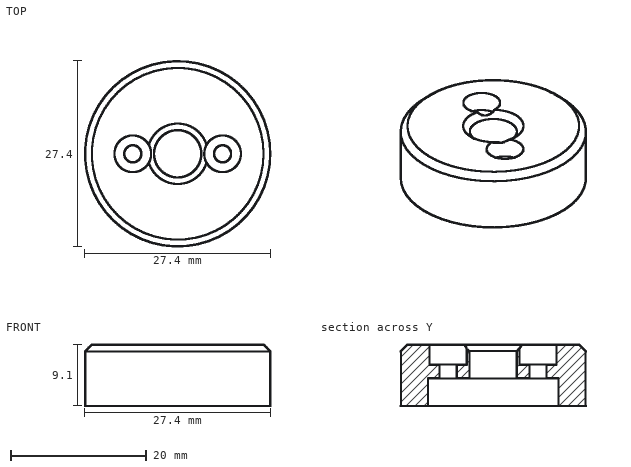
import cadquery as cq

body_diameter = 27.45
body_height = 9.1
edge_chamfer = 1.02

recess_diameter = 19.32
plate_thickness = 5.0
recess_depth = body_height - plate_thickness

bore_diameter = 6.97
bore_chamfer = 1.0
bore_chamfer_angle = 90

screw_offset = 6.65
screw_diameter = 2.5
counterbore_diameter = 5.43
counterbore_depth = 3.0

body = (
    cq.Workplane("XY")
    .circle(body_diameter / 2)
    .extrude(body_height)
    .faces(">Z")
    .chamfer(edge_chamfer)
)

recess = cq.Workplane("XY").circle(recess_diameter / 2).extrude(recess_depth)

bored_body = (
    body.cut(recess)
    .faces(">Z")
    .workplane(origin=(0, 0, body_height))
    .cskHole(bore_diameter, bore_diameter + 2 * bore_chamfer, bore_chamfer_angle)
)

result = (
    bored_body.faces(">Z")
    .workplane(origin=(0, 0, body_height))
    .pushPoints([(-screw_offset, 0), (screw_offset, 0)])
    .cboreHole(screw_diameter, counterbore_diameter, counterbore_depth)
)